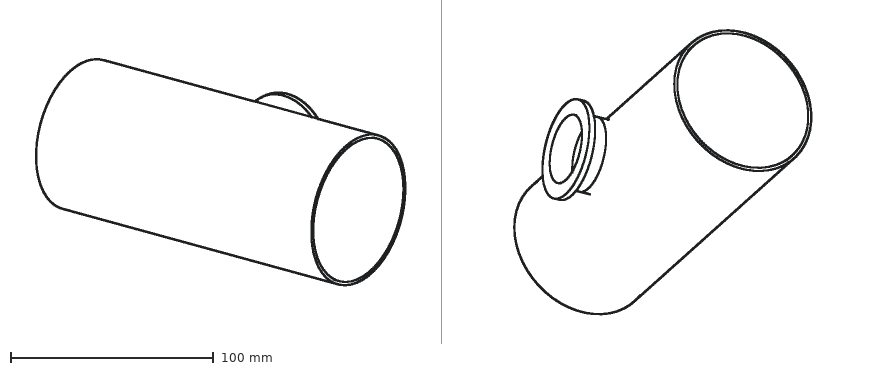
import cadquery as cq

tube_length = 171.4
tube_diameter = 76.3
wall = 1.7
tube_radius = tube_diameter / 2
tube_bore_radius = tube_radius - wall

neck_radius = 19.0
neck_bore_radius = neck_radius - wall
overall_depth = 92.0
branch_end = overall_depth - tube_radius
root_fillet = 1.0

ferrule_length = 12.5
flange_radius = 25.2
rim_thickness = 3.3
taper_length = 1.7
neck_fillet = 1.7
joint_y = branch_end - ferrule_length


def branch_cylinder(radius, end):
    """Cylinder along +Y from the tube axis."""
    return cq.Workplane("XZ").circle(radius).extrude(-end)


def make_tee():
    """Tube with a short branch stub blended into its wall."""
    outer = cq.Workplane("YZ").circle(tube_radius).extrude(tube_length / 2, both=True)
    bore = cq.Workplane("YZ").circle(tube_bore_radius).extrude(tube_length / 2, both=True)
    body = outer.union(branch_cylinder(neck_radius, joint_y))

    root_box = cq.selectors.BoxSelector(
        (-flange_radius, 0, -flange_radius),
        (flange_radius, tube_radius, flange_radius),
    )
    body = body.edges(root_box).fillet(root_fillet)
    return body.cut(bore).cut(branch_cylinder(neck_bore_radius, joint_y))


def make_ferrule():
    """Flanged collar with a tapered back, seated on the branch stub."""
    rim_back_y = branch_end - rim_thickness
    taper_foot_y = rim_back_y - taper_length
    body = (
        cq.Workplane("XY")
        .moveTo(0, joint_y)
        .lineTo(neck_radius, joint_y)
        .lineTo(neck_radius, taper_foot_y)
        .lineTo(flange_radius, rim_back_y)
        .lineTo(flange_radius, branch_end)
        .lineTo(0, branch_end)
        .close()
        .revolve(360, (0, 0, 0), (0, 1, 0))
    )
    taper_foot = cq.selectors.NearestToPointSelector((0, taper_foot_y, 0))
    body = body.edges("%CIRCLE").edges(taper_foot).fillet(neck_fillet)
    return body.cut(branch_cylinder(neck_bore_radius, branch_end))


tee = make_tee()
ferrule = make_ferrule()

result = cq.Compound.makeCompound([tee.val(), ferrule.val()])